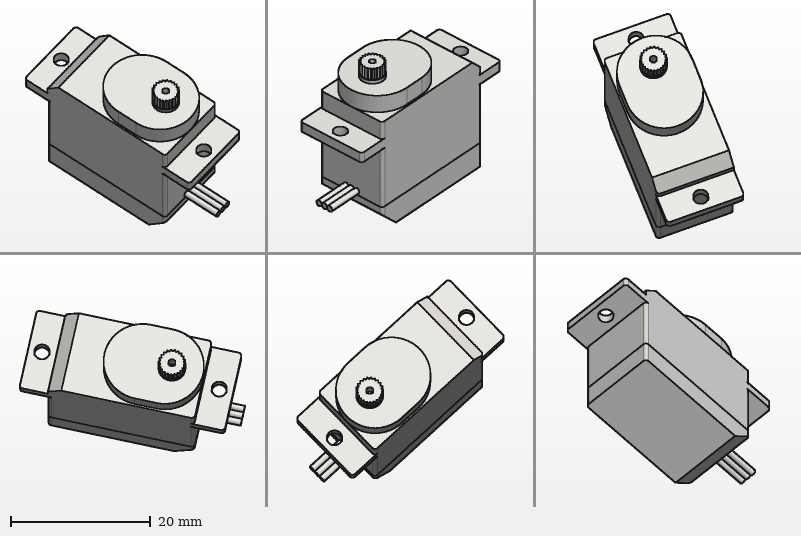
import cadquery as cq
import math

overall_length = 31.5
case_length = 21.48
case_width = 11.8
edge_radius = 0.5

cover_height = 4.22
cover_chamfer = 3.0

housing_top = 19.35
top_chamfer = 2.0
flange_bottom = 14.6
flange_thickness = 1.7
left_overhang = 4.2
right_overhang = 4.4
mount_hole_diameter = 2.2
mount_hole_edge_distance = 2.05

boss_length = 14.45
boss_width = 11.2
boss_height = 2.95

shaft_x = case_length - 4.57
shaft_diameter = 3.9
collar_height = 0.63
spline_top = 24.9
spline_root_diameter = 3.4
tooth_count = 22
screw_hole_diameter = 1.0

wire_count = 3
wire_diameter = 1.0
wire_axis_height = 4.88
wire_length = overall_length - left_overhang - case_length

flange_left = -left_overhang
flange_right = case_length + right_overhang
boss_top = housing_top + boss_height
spline_bottom = boss_top + collar_height


def case_block(bottom, top):
    """Plain block with the footprint of the case between two levels."""
    return (
        cq.Workplane("XY", origin=(case_length / 2, 0, bottom))
        .rect(case_length, case_width)
        .extrude(top - bottom)
    )


def make_cover():
    """Bottom cover, chamfered along its lower +X edge."""
    block = case_block(0, cover_height).edges("|Z").fillet(edge_radius)
    corner = (
        cq.Workplane("XZ", origin=(case_length, 0, 0))
        .polyline([(0, 0), (-cover_chamfer, 0), (0, cover_chamfer)])
        .close()
        .extrude(case_width, both=True)
    )
    return block.cut(corner)


def make_flange():
    """Plate that runs through the case and sticks out on both sides."""
    length = flange_right - flange_left
    return (
        cq.Workplane("XY", origin=((flange_left + flange_right) / 2, 0, flange_bottom))
        .rect(length, case_width)
        .extrude(flange_thickness)
        .edges("|Z")
        .fillet(edge_radius)
    )


def make_mount_holes():
    hole_x = [flange_left + mount_hole_edge_distance, flange_right - mount_hole_edge_distance]
    return (
        cq.Workplane("XY", origin=(0, 0, flange_bottom))
        .pushPoints([(x, 0) for x in hole_x])
        .circle(mount_hole_diameter / 2)
        .extrude(flange_thickness)
    )


def make_boss():
    return (
        cq.Workplane("XY", origin=(case_length - boss_length / 2, 0, housing_top))
        .slot2D(boss_length, boss_width)
        .extrude(boss_height)
    )


def make_housing():
    """Case above the cover, in one piece with the mounting flange and the gear boss."""
    lower = case_block(cover_height, flange_bottom).edges("|Z").fillet(edge_radius)
    upper = case_block(flange_bottom, housing_top)
    upper = upper.edges("|Z and (>X or >Y)").fillet(edge_radius)
    corner = (
        cq.Workplane("XZ", origin=(0, 0, housing_top))
        .polyline([(0, 0), (top_chamfer, 0), (0, -top_chamfer)])
        .close()
        .extrude(case_width, both=True)
    )
    upper = upper.cut(corner)
    body = lower.union(upper).union(make_flange()).union(make_boss())
    return body.cut(make_mount_holes())


def spline_outline():
    """Points of the toothed outline: sharp roots and tips alternate, with a root on the +X axis."""
    step = math.pi / tooth_count
    points = []
    for tooth in range(tooth_count):
        root_angle = 2 * tooth * step
        tip_angle = root_angle + step
        for diameter, angle in [(spline_root_diameter, root_angle), (shaft_diameter, tip_angle)]:
            points.append((diameter / 2 * math.cos(angle), diameter / 2 * math.sin(angle)))
    return points


def make_shaft():
    """Output shaft: a plain collar standing on the boss and a splined end, bored for a screw."""
    collar = (
        cq.Workplane("XY", origin=(shaft_x, 0, boss_top))
        .circle(shaft_diameter / 2)
        .extrude(collar_height)
    )
    spline = (
        cq.Workplane("XY", origin=(shaft_x, 0, spline_bottom))
        .polyline(spline_outline())
        .close()
        .extrude(spline_top - spline_bottom)
    )
    screw_hole = (
        cq.Workplane("XY", origin=(shaft_x, 0, boss_top))
        .circle(screw_hole_diameter / 2)
        .extrude(spline_top - boss_top)
    )
    return collar.union(spline).cut(screw_hole)


def make_wire(y):
    """One wire of the flat cable, starting at the right face of the case."""
    return (
        cq.Workplane("YZ", origin=(case_length, y, wire_axis_height))
        .circle(wire_diameter / 2)
        .extrude(wire_length)
    )


cover = make_cover()
housing = make_housing()
shaft = make_shaft()
wires = []
for index in range(wire_count):
    wire_y = (index - (wire_count - 1) / 2) * wire_diameter
    wires.append(make_wire(wire_y).val())

result = cq.Compound.makeCompound([housing.val(), cover.val(), shaft.val(), *wires])